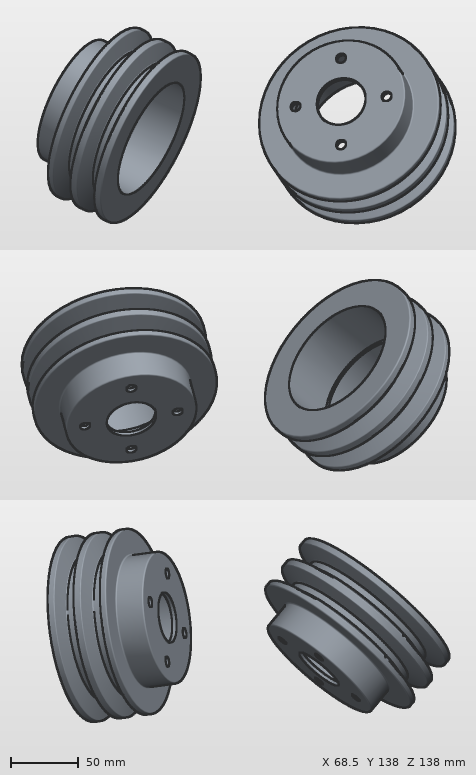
import cadquery as cq

rim_radius = 69.0
total_length = 68.5
edge_fillet = 1.1

hub_radius = 49.1
hub_length = 21.7
root_fillet = 1.1

groove_count = 2
groove_pitch = 20.8
first_groove_center = 34.2
groove_top_width = 14.9
groove_floor_width = 7.2
groove_depth = 14.6
groove_edge_fillet = 1.0

bore_radius = 18.6
web_thickness = 3.5
cavity_radius = 42.8
cavity_step_radius = 45.5
cavity_step_start = 25.8
bolt_circle_radius = 34.8
bolt_hole_diameter = 7.5
bolt_hole_count = 4

selection_margin = 0.1


def disc(radius, start, end):
    """Solid cylinder about the X axis between two X positions."""
    return cq.Workplane("YZ").workplane(offset=start).circle(radius).extrude(end - start)


def edge_box(start, end, radius):
    """Selector for edges centered between two X positions, around the axis."""
    return cq.selectors.BoxSelector((start, -radius, -radius), (end, radius, radius))


def groove_cutter(center):
    """Ring with a trapezoidal V-belt section."""
    half_top = groove_top_width / 2
    half_floor = groove_floor_width / 2
    floor_radius = rim_radius - groove_depth
    return (
        cq.Workplane("XY")
        .moveTo(center - half_top, rim_radius)
        .lineTo(center - half_floor, floor_radius)
        .lineTo(center + half_floor, floor_radius)
        .lineTo(center + half_top, rim_radius)
        .close()
        .revolve(360, (0, 0, 0), (1, 0, 0))
    )


rim = disc(rim_radius, hub_length, total_length).edges().fillet(edge_fillet)
for index in range(groove_count):
    rim = rim.cut(groove_cutter(first_groove_center + index * groove_pitch))
groove_box = edge_box(hub_length + 2 * edge_fillet, total_length - 2 * edge_fillet, rim_radius)
rim = rim.edges(groove_box).edges("%CIRCLE").fillet(groove_edge_fillet)

hub = disc(hub_radius, 0, hub_length).faces("<X").edges().fillet(edge_fillet)
body = rim.union(hub)
root_box = edge_box(
    hub_length - selection_margin,
    hub_length + selection_margin,
    hub_radius + selection_margin,
)
root_edge = body.edges(root_box).edges(cq.selectors.RadiusNthSelector(0))
body = root_edge.fillet(root_fillet)

body = body.cut(disc(cavity_radius, web_thickness, total_length))
body = body.cut(disc(cavity_step_radius, cavity_step_start, total_length))
body = body.cut(disc(bore_radius, 0, web_thickness))

bolt_holes = (
    cq.Workplane("YZ")
    .polarArray(bolt_circle_radius, 0, 360, bolt_hole_count)
    .circle(bolt_hole_diameter / 2)
    .extrude(web_thickness)
)
result = body.cut(bolt_holes)